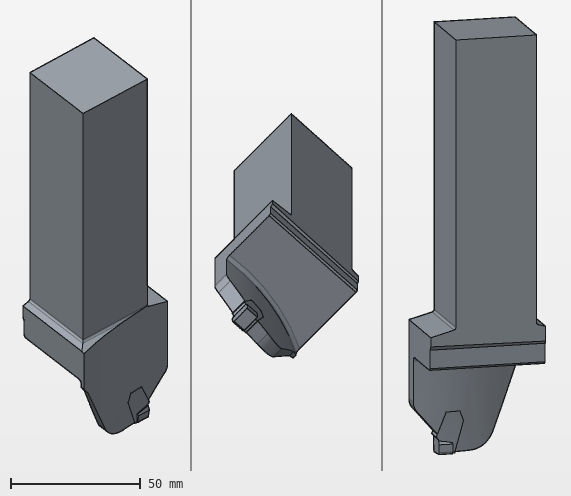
import cadquery as cq
import math

total_height = 170.0
head_depth = 45.9
head_width = 37.0

shank_right = 32.3
shank_front = 3.5
shank_back = 35.9
left_lean = 0.3

shoulder_z = 55.6
shoulder_slope = math.tan(math.radians(15))
shoulder_fillet = 1.0
head_bottom = 39.6
relief_x = 1.0
relief_z = 47.8
ledge_height = 1.5
bottom_chamfer = 0.8

inner_x = 25.5
inner_radius = 81.6
outer_x = 32.3
outer_radius = 159.8
arc_y = 39.1
root_fillet = 1.7
blade_bottom = 1.0
front_edge_bottom = 36.4

insert_side = 24.8
insert_far_side = 33.5
insert_heel = (36.4, 8.5)
insert_foot_y = 29.2
tip_height = 4.5
tip_land = 0.8
tip_land_inset = 0.2
tip_ramp_width = 1.0
tip_front = 30.5
ramp_top_front = 4.8
ramp_top_rake = 6.3
side_relief = 0.7
edge_tilt = 0.5


def side_prism(sketch):
    """Extrude a closed (Y, Z) outline over the full head width."""
    return sketch.close().extrude(head_width)


def arc_face_cylinder(face_x, radius):
    """Vertical cylinder whose leftmost line is at face_x."""
    return cq.Workplane().center(face_x + radius, arc_y).circle(radius).extrude(total_height)


def make_shank():
    outline = cq.Workplane().workplane(offset=head_bottom).polyline([
        (left_lean * (1 - shank_front / head_depth), shank_front),
        (shank_right, shank_front),
        (shank_right, shank_back),
        (left_lean * (1 - shank_back / head_depth), shank_back),
    ])
    return outline.close().extrude(total_height - head_bottom)


def make_head():
    front_drop = shank_front * shoulder_slope
    back_drop = (head_depth - shank_back) * shoulder_slope
    right_drop = (head_width - shank_right) * shoulder_slope
    side = side_prism(cq.Workplane("YZ").polyline([
        (0, head_bottom),
        (head_depth, head_bottom),
        (head_depth, shoulder_z - back_drop),
        (shank_back, shoulder_z),
        (shank_front, shoulder_z),
        (0, shoulder_z - front_drop),
    ]))
    front = cq.Workplane("XZ").polyline([
        (0, head_bottom),
        (head_width, head_bottom),
        (head_width, shoulder_z - right_drop),
        (shank_right, shoulder_z),
        (0, shoulder_z),
    ]).close().extrude(-head_depth)
    plan = cq.Workplane().polyline([
        (left_lean, 0),
        (head_width, 0),
        (head_width, head_depth),
        (0, head_depth),
    ]).close().extrude(total_height)
    return side.intersect(front).intersect(plan)


def fillet_shoulders(body):
    """Round the inside corners where the shank meets the front, right and rear shoulders."""
    margin = 0.2
    corners = cq.selectors.BoxSelector(
        (-margin, shank_front - margin, shoulder_z - margin),
        (shank_right + margin, shank_back + margin, shoulder_z + margin),
    )
    return body.edges(corners).fillet(shoulder_fillet)


def cut_left_relief(body):
    """Step the left side inward below a sloping ledge and chamfer its bottom edge."""
    relief = cq.Workplane("XZ").polyline([
        (0, head_bottom),
        (relief_x + bottom_chamfer, head_bottom),
        (relief_x, head_bottom + bottom_chamfer),
        (relief_x, relief_z),
        (0, relief_z + ledge_height),
    ]).close().extrude(-head_depth)
    return body.cut(relief)


def make_blade():
    outline = (
        cq.Workplane("YZ")
        .moveTo(0, head_bottom)
        .lineTo(0, front_edge_bottom)
        .threePointArc((1.0, 34.7), (2.5, 32.8))
        .lineTo(13.0, 7.8)
        .threePointArc((16.8, 2.9), (22.8, blade_bottom))
        .lineTo(insert_foot_y, blade_bottom)
        .lineTo(*insert_heel)
        .lineTo(44.0, 17.3)
        .threePointArc((45.4, 19.2), (head_depth, 21.6))
        .lineTo(head_depth, head_bottom)
    )
    return side_prism(outline).intersect(arc_face_cylinder(inner_x, inner_radius))


def make_root_fillet():
    """Concave round between the blade's inner face and the underside of the head."""
    foot = arc_face_cylinder(inner_x - root_fillet, inner_radius + root_fillet)
    band = cq.Workplane().box(head_width, head_depth, root_fillet, centered=False)
    band = band.translate((0, 0, head_bottom - root_fillet)).intersect(foot)
    groove = (
        cq.Workplane("XZ", origin=(inner_x + inner_radius, arc_y, 0))
        .center(-inner_radius - root_fillet, head_bottom - root_fillet)
        .circle(root_fillet)
        .revolve(360, (inner_radius + root_fillet, 0), (inner_radius + root_fillet, 1))
    )
    return band.cut(groove)


def insert_envelope():
    """Angled insert outline with a tip, cut through the full head width."""
    return side_prism(cq.Workplane("YZ").polyline([
        (32.8, 17.0),
        (27.2, 17.0),
        (25.7, 13.1),
        (insert_foot_y, blade_bottom),
        (insert_foot_y, edge_tilt),
        (shank_back, edge_tilt),
        (shank_back, ramp_top_rake),
        (36.9, 7.3),
        insert_heel,
    ]))


def tip_section(y, ramp_top):
    """(X, Z) section of the cutting tip at the given Y."""
    return cq.Workplane("XZ", origin=(0, y, 0)).polyline([
        (insert_side + tip_land_inset, edge_tilt),
        (insert_far_side - 2 * side_relief, 0),
        (insert_far_side - side_relief, edge_tilt),
        (insert_far_side, tip_height),
        (insert_far_side - side_relief, ramp_top),
        (insert_side + tip_ramp_width, ramp_top),
        (insert_side, tip_height),
        (insert_side, edge_tilt + tip_land),
    ]).close().wires().val()


def make_tip():
    """Cutting tip whose chip ramp rises toward the rake face."""
    front = tip_section(tip_front, ramp_top_front)
    rake = tip_section(shank_back, ramp_top_rake)
    return cq.Workplane(cq.Solid.makeLoft([front, rake], True))


def make_insert(outer_space):
    inner_cylinder = arc_face_cylinder(inner_x, inner_radius)
    shank = insert_envelope().intersect(inner_cylinder).cut(outer_space)
    return shank.union(make_tip())


def make_holder(outer_space):
    body = fillet_shoulders(make_shank().union(make_head()))
    body = cut_left_relief(body)
    body = body.union(make_blade()).union(make_root_fillet())
    return body.cut(outer_space).cut(insert_envelope())


outer_space = arc_face_cylinder(outer_x, outer_radius)
insert = make_insert(outer_space)
holder = make_holder(outer_space).cut(insert)

result = cq.Compound.makeCompound([holder.val(), insert.val()])